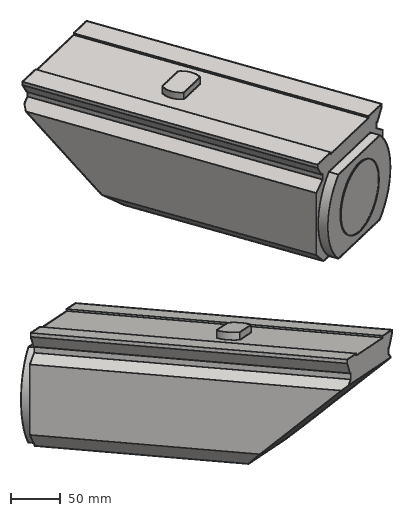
import cadquery as cq
import math

BODY_LENGTH = 338.0
BODY_HALF_WIDTH = 70.0
BODY_HEIGHT = 120.0
BOTTOM_CHAMFER = 15.0

SHOULDER_Z = 88.0
NECK_HALF_WIDTH = 57.0
NECK_BOTTOM_Z = 97.0
NECK_TOP_Z = 103.5
RAIL_HALF_WIDTH = 67.5
DOVETAIL_ANGLE = 55.0
RAIL_EDGE_Z = 116.0

CHANNEL_WIDTH = 80.0
CHANNEL_DEPTH = 2.0

SLOPE_START_Z = 92.3
SLOPE_LENGTH = 110.0

PLATE_DIAMETER = 132.0
PLATE_HEIGHT = 99.0
PLATE_THICKNESS = 11.0
PAD_DIAMETER = 80.0
PAD_THICKNESS = 1.0

KEY_X = 145.0
KEY_DIAMETER = 42.0
KEY_WIDTH = 25.0
KEY_TOP_Z = 126.0

UNDERCUT_WIDTH = (RAIL_EDGE_Z - NECK_TOP_Z) / math.tan(math.radians(DOVETAIL_ANGLE))
GROOVE_ROOF_HALF_WIDTH = RAIL_HALF_WIDTH - UNDERCUT_WIDTH
CHANNEL_Z = BODY_HEIGHT - CHANNEL_DEPTH
PLATE_CENTER_Z = PLATE_HEIGHT / 2


def make_body():
    """Symmetric dovetail profile swept along X."""
    half_profile = [
        (0, 0),
        (BODY_HALF_WIDTH - BOTTOM_CHAMFER, 0),
        (BODY_HALF_WIDTH, BOTTOM_CHAMFER),
        (BODY_HALF_WIDTH, SHOULDER_Z),
        (NECK_HALF_WIDTH, NECK_BOTTOM_Z),
        (NECK_HALF_WIDTH, NECK_TOP_Z),
        (GROOVE_ROOF_HALF_WIDTH, NECK_TOP_Z),
        (RAIL_HALF_WIDTH, RAIL_EDGE_Z),
        (RAIL_HALF_WIDTH, BODY_HEIGHT),
        (CHANNEL_WIDTH / 2, BODY_HEIGHT),
        (CHANNEL_WIDTH / 2, CHANNEL_Z),
        (0, CHANNEL_Z),
    ]
    return cq.Workplane("YZ").polyline(half_profile).mirrorY().extrude(BODY_LENGTH)


def make_slope_cutter():
    """Triangular prism that removes the lower front corner."""
    return (
        cq.Workplane("XZ")
        .polyline([(0, 0), (SLOPE_LENGTH, 0), (0, SLOPE_START_Z)])
        .close()
        .extrude(BODY_HALF_WIDTH, both=True)
    )


def make_end_plate():
    """Trimmed disc on the rear face, carrying a thin round pad."""
    rear = cq.Workplane("YZ", origin=(BODY_LENGTH, 0, PLATE_CENTER_Z))
    disc = rear.circle(PLATE_DIAMETER / 2).extrude(PLATE_THICKNESS)
    trim = rear.rect(PLATE_DIAMETER, PLATE_HEIGHT).extrude(PLATE_THICKNESS)
    pad = rear.workplane(offset=PLATE_THICKNESS).circle(PAD_DIAMETER / 2).extrude(PAD_THICKNESS)
    return disc.intersect(trim).union(pad)


def make_key():
    """Trimmed disc standing on the channel floor, long side across the rail."""
    key_height = KEY_TOP_Z - CHANNEL_Z
    base = cq.Workplane("XY", origin=(KEY_X, 0, CHANNEL_Z))
    disc = base.circle(KEY_DIAMETER / 2).extrude(key_height)
    trim = base.rect(KEY_WIDTH, KEY_DIAMETER).extrude(key_height)
    return disc.intersect(trim)


result = make_body().cut(make_slope_cutter()).union(make_end_plate()).union(make_key())